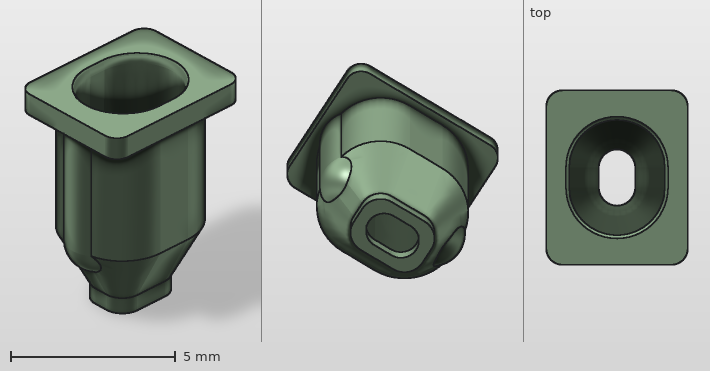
import cadquery as cq
import math

FLANGE_X = 4.3
FLANGE_Y = 5.3
FLANGE_THICKNESS = 0.75
FLANGE_CORNER = 0.5

TOTAL_HEIGHT = 7.45
TIP_HEIGHT = 0.55
BODY_BOTTOM = 2.5
FLANGE_BOTTOM = TOTAL_HEIGHT - FLANGE_THICKNESS

CORNER_CENTRE_X = 0.25
CORNER_CENTRE_Y = 0.58
BODY_CORNER = 1.675
TIP_CORNER = 0.65

RIB_RADIUS = 1.0
RIB_REACH = 2.42
RIB_CENTRE_Y = RIB_REACH - RIB_RADIUS

SLOT_HALF_SPACING = 0.3
MOUTH_RADIUS = 1.55
MOUTH_DEPTH = 0.06
LIP_TOP_RADIUS = 1.51
LIP_HEIGHT = 0.24
THROAT_RADIUS = 1.45
BODY_WALL = 0.4
BORE_BOTTOM_RADIUS = CORNER_CENTRE_X + BODY_CORNER - BODY_WALL
OUTLET_RADIUS = 0.55


def rounded_prism(corner, bottom, height, taper=0):
    """Rounded rectangle around the shared corner centres, extruded upward."""
    return (
        cq.Workplane("XY", origin=(0, 0, bottom))
        .sketch()
        .rect(2 * (CORNER_CENTRE_X + corner), 2 * (CORNER_CENTRE_Y + corner))
        .vertices()
        .fillet(corner)
        .finalize()
        .extrude(height, taper=taper)
    )


def make_flange():
    return (
        cq.Workplane("XY", origin=(0, 0, FLANGE_BOTTOM))
        .rect(FLANGE_X, FLANGE_Y)
        .extrude(FLANGE_THICKNESS)
        .edges("|Z")
        .fillet(FLANGE_CORNER)
    )


def make_shell():
    """Straight tip, flaring funnel and straight body."""
    funnel_height = BODY_BOTTOM - TIP_HEIGHT
    flare_angle = math.degrees(math.atan2(BODY_CORNER - TIP_CORNER, funnel_height))
    tip = rounded_prism(TIP_CORNER, 0, TIP_HEIGHT)
    funnel = rounded_prism(TIP_CORNER, TIP_HEIGHT, funnel_height, taper=-flare_angle)
    body = rounded_prism(BODY_CORNER, BODY_BOTTOM, FLANGE_BOTTOM - BODY_BOTTOM)
    return tip.union(funnel).union(body)


def make_rib(side):
    """Vertical rib with a ball end; side is +1 for +Y and -1 for -Y."""
    centre = (0, side * RIB_CENTRE_Y, BODY_BOTTOM)
    post = cq.Workplane("XY", origin=centre).circle(RIB_RADIUS).extrude(FLANGE_BOTTOM - BODY_BOTTOM)
    ball = cq.Workplane("XY", origin=centre).sphere(RIB_RADIUS)
    return post.union(ball)


def cavity_profile(y):
    """Half section of the cavity in a plane parallel to XZ at the given Y."""
    mouth_bottom = TOTAL_HEIGHT - MOUTH_DEPTH
    lip_bottom = mouth_bottom - LIP_HEIGHT
    lip_width = LIP_TOP_RADIUS - THROAT_RADIUS
    lip_arc_angle = 2 * math.atan2(lip_width, LIP_HEIGHT)
    lip_arc_radius = LIP_HEIGHT / math.sin(lip_arc_angle)
    lip_middle = (
        THROAT_RADIUS + lip_arc_radius * (1 - math.cos(lip_arc_angle / 2)),
        lip_bottom + lip_arc_radius * math.sin(lip_arc_angle / 2),
    )
    return (
        cq.Workplane("XZ", origin=(0, y, 0))
        .lineTo(OUTLET_RADIUS, 0)
        .lineTo(OUTLET_RADIUS, TIP_HEIGHT)
        .lineTo(BORE_BOTTOM_RADIUS, BODY_BOTTOM)
        .lineTo(THROAT_RADIUS, lip_bottom)
        .threePointArc(lip_middle, (LIP_TOP_RADIUS, mouth_bottom))
        .lineTo(MOUTH_RADIUS, TOTAL_HEIGHT)
        .lineTo(0, TOTAL_HEIGHT)
        .close()
    )


def make_cavity():
    """Two revolved ends joined by a straight middle, open at both ends of the part."""
    half_middle = cavity_profile(SLOT_HALF_SPACING).extrude(2 * SLOT_HALF_SPACING)
    cavity = half_middle.union(half_middle.mirror("YZ"))
    for y in (-SLOT_HALF_SPACING, SLOT_HALF_SPACING):
        cavity = cavity.union(cavity_profile(y).revolve(360, (0, 0), (0, 1)))
    return cavity


outside = make_shell().union(make_flange())
for side in (-1, 1):
    outside = outside.union(make_rib(side))

result = outside.cut(make_cavity())